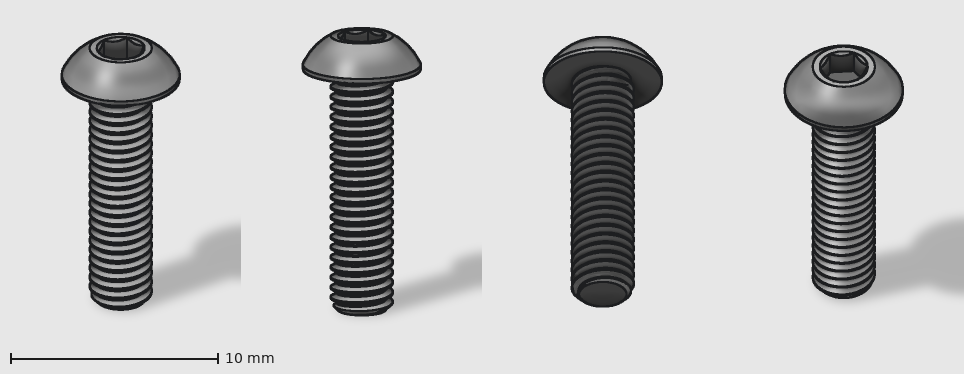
import cadquery as cq
import math

total_length = 13.65
head_height = 1.65
shank_length = total_length - head_height

head_radius = 2.85
rim_height = 0.23
head_top_radius = 1.5

socket_flats = 2.0
socket_depth = 1.16
socket_corner_radius = socket_flats / math.sqrt(3)
socket_chamfer = socket_corner_radius - socket_flats / 2

thread_radius = 1.5
shank_pitches = 24
pitch = shank_length / shank_pitches
crest_flat = pitch / 8
thread_depth = 0.31
core_radius = thread_radius - thread_depth
flank_angle = 30.0
crest_start = 0.42
ridge_embed = 0.003
runout_turns = 1

tip_radius = 1.15
envelope_radius = 2.05
seam_angle = 200.0


def make_head():
    dome_center_z = (
        (head_top_radius**2 + head_height**2 - head_radius**2 - rim_height**2)
        / (2 * (head_height - rim_height))
    )
    dome_radius = math.hypot(head_radius, rim_height - dome_center_z)
    mid_radius = (head_radius + head_top_radius) / 2
    mid_z = dome_center_z + math.sqrt(dome_radius**2 - mid_radius**2)
    profile = (
        cq.Workplane("XZ")
        .lineTo(head_radius, 0)
        .lineTo(head_radius, rim_height)
        .threePointArc((mid_radius, mid_z), (head_top_radius, head_height))
        .lineTo(0, head_height)
        .close()
    )
    return profile.revolve(360, (0, 0), (0, 1))


def make_socket():
    hexagon = (
        cq.Workplane("XY", origin=(0, 0, head_height - socket_depth))
        .transformed(rotate=(0, 0, 90))
        .polygon(6, 2 * socket_corner_radius)
        .extrude(socket_depth)
    )
    lead_in = cq.Workplane(
        cq.Solid.makeCone(
            socket_flats / 2,
            socket_corner_radius,
            socket_chamfer,
            cq.Vector(0, 0, head_height - socket_chamfer),
        )
    )
    return hexagon.union(lead_in)


def make_thread_ridge():
    flank_slope = math.tan(math.radians(flank_angle))
    inner_radius = core_radius - ridge_embed
    crest_half = crest_flat / 2
    inner_half = crest_half + (thread_radius - inner_radius) * flank_slope
    start_z = -shank_length + crest_start - runout_turns * pitch
    ridge_length = (shank_pitches + 2 * runout_turns) * pitch

    corners = [
        (thread_radius, -crest_half),
        (thread_radius, crest_half),
        (inner_radius, inner_half),
        (inner_radius, -inner_half),
    ]
    helices = [
        cq.Wire.makeHelix(pitch, ridge_length, radius, cq.Vector(0, 0, start_z + offset))
        for radius, offset in corners
    ]
    faces = []
    for helix, neighbour in zip(helices, helices[1:] + helices[:1]):
        faces.extend(cq.Face.makeRuledSurface(helix, neighbour).Faces())
    for end_points in (
        [helix.startPoint() for helix in helices],
        [helix.endPoint() for helix in helices],
    ):
        faces.append(cq.Face.makeFromWires(cq.Wire.makePolygon(end_points, close=True)))
    return cq.Workplane(cq.Solid.makeSolid(cq.Shell.makeShell(faces)))


def make_shank():
    envelope = (
        cq.Workplane("XY")
        .circle(envelope_radius)
        .extrude(-shank_length)
        .faces("<Z")
        .chamfer(envelope_radius - tip_radius)
        .rotate((0, 0, 0), (0, 0, 1), seam_angle)
    )
    core = (
        cq.Workplane("XY")
        .circle(core_radius)
        .extrude(-shank_length)
        .rotate((0, 0, 0), (0, 0, 1), seam_angle)
        .intersect(envelope)
    )
    return make_thread_ridge().intersect(envelope).union(core)


result = make_shank().union(make_head().cut(make_socket()))